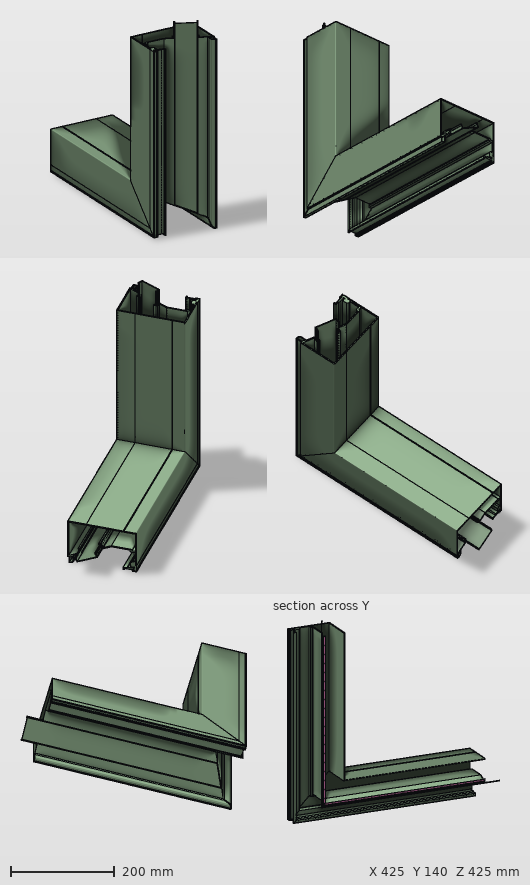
import cadquery as cq
import math

SIZE = 425.0
DEPTH = 140.0
STRIP_PROJECTION = 31.0
LEG_TOP = SIZE - STRIP_PROJECTION

WALL = 2.5
INNER_X = 329.5
EDGE_ROUND = 1.5

BACK_JOINT_Y = 102.0
FRONT_JOINT_X = 403.5

GROOVE_Y = 26.5
GROOVE_WIDTH = 1.3
GROOVE_DEPTH = 0.65

SLOPE_ANGLE = math.radians(25)
STEP_X = 371.0
STEP_Y = 50.5
FOOT_Y = 9.0
FOOT_ROUND = 2.0

STRIP_START = 20.5
STRIP_WIDTH = 46.0
STRIP_END = STRIP_START + STRIP_WIDTH
STRIP_HEIGHT = 10.0
STRIP_WALL = 1.5
STRIP_BEAD = 1.0
STRIP_BEAD_LENGTH = 3.5

RAIL_WALL = 2.0
RAIL_RETURN = 3.5

BACK_WALL_END_X = 412.0
HOLDER_Y_MIN = 127.5
HOLDER_Y_MAX = DEPTH - WALL
HOLDER_WALL = 1.5
HOLDER_ROUND = 6.5

FRONT_EDGE_X = 418.5
FRONT_EDGE_THICK = 5.0
EDGE_GROOVE_X = 416.0
EDGE_GROOVE_WIDTH = 1.5
EDGE_GROOVE_DEPTH = 1.3
CHANNEL_X = 413.0
CHANNEL_WALL = 2.5
CHANNEL_TOP_Y = 27.0
CHANNEL_LIP = 2.5
LOWER_LIP_Y = 7.0
LOWER_LIP_THICK = 1.5
PAD_THICK = 1.5
PAD_TOP_Y = 19.5
PAD_TAPER = 2.5

CLIP_LENGTH = 4.2
CLIP_TOP_Y = 13.5
CLIP_BEVEL = 2.0
RIB_START_X = 396.5
RIB_END_X = 408.8
RIB_TOP_Y = 12.0
RIB_BEVEL = 3.5


def on_slope(along, inward):
    """Point at a distance up the outer face of the slope and inward from that face."""
    x = STEP_X + along * math.sin(SLOPE_ANGLE) - inward * math.cos(SLOPE_ANGLE)
    y = STEP_Y + along * math.cos(SLOPE_ANGLE) + inward * math.sin(SLOPE_ANGLE)
    return (x, y)


def slope_x(y, inward=0.0):
    """X of the line that runs parallel to the slope's outer face, at height y."""
    return STEP_X + (y - STEP_Y) * math.tan(SLOPE_ANGLE) - inward / math.cos(SLOPE_ANGLE)


def prism(points, top=LEG_TOP):
    """Straight upright bar with the given section."""
    return cq.Workplane("XY").polyline(points).close().extrude(top)


def block(x_min, x_max, y_min, y_max):
    """Straight upright bar with a rectangular section."""
    return prism([(x_min, y_min), (x_max, y_min), (x_max, y_max), (x_min, y_max)])


def rounded(bar, x, y, radius):
    """Bar with its upright edge at (x, y) rounded."""
    return bar.edges(cq.selectors.NearestToPointSelector((x, y, LEG_TOP / 2))).fillet(radius)


def mitred(bar):
    """The part of a bar on the upright leg's side of the mitre plane X + Z = SIZE."""
    side = (
        cq.Workplane("XZ")
        .polyline([(0, SIZE), (SIZE, 0), (SIZE, SIZE)])
        .close()
        .extrude(-DEPTH)
    )
    return bar.intersect(side).val()


def rail(strip_edge, toward, return_length=0):
    """Hook on the slope over one lip of the strip; toward is +1 or -1 up the slope.

    The tip of the hook may turn back along the inner side of the lip.
    """
    inside = strip_edge - toward * STRIP_BEAD
    back = inside - toward * RAIL_WALL
    return_face = strip_edge + toward * STRIP_WALL
    tip = return_face + toward * RAIL_WALL
    top = STRIP_HEIGHT + RAIL_WALL
    return_end = STRIP_HEIGHT - return_length
    corners = [(back, 0), (inside, 0), (inside, STRIP_HEIGHT)]
    if return_length:
        corners += [(return_face, STRIP_HEIGHT), (return_face, return_end)]
    corners += [(tip, return_end), (tip, top), (back, top)]
    return prism([on_slope(along, inward) for along, inward in corners])


def make_strip():
    """Shallow channel lying in the slope, with both beaded lips pointing into the box."""
    left = STRIP_START + STRIP_WALL
    right = STRIP_END - STRIP_WALL
    bead_start = STRIP_HEIGHT - STRIP_BEAD_LENGTH
    corners = [
        (STRIP_START, 0),
        (STRIP_END, 0),
        (STRIP_END, bead_start),
        (STRIP_END + STRIP_BEAD, bead_start),
        (STRIP_END + STRIP_BEAD, STRIP_HEIGHT),
        (right, STRIP_HEIGHT),
        (right, STRIP_WALL),
        (left, STRIP_WALL),
        (left, STRIP_HEIGHT),
        (STRIP_START - STRIP_BEAD, STRIP_HEIGHT),
        (STRIP_START - STRIP_BEAD, bead_start),
        (STRIP_START, bead_start),
    ]
    return mitred(prism([on_slope(along, inward) for along, inward in corners], SIZE))


def make_seal_holder():
    """Hollow bead beyond the slope, rounded at its outer front edge."""
    solid = prism(
        [
            (slope_x(HOLDER_Y_MIN), HOLDER_Y_MIN),
            (SIZE, HOLDER_Y_MIN),
            (SIZE, HOLDER_Y_MAX),
            (slope_x(HOLDER_Y_MAX), HOLDER_Y_MAX),
        ]
    )
    solid = rounded(solid, SIZE, HOLDER_Y_MIN, HOLDER_ROUND)
    cavity = solid.faces(">Z").wires().toPending().workplane().offset2D(-HOLDER_WALL)
    return cavity.cutThruAll()


def make_back_profile():
    """Back wall, its short return on the inside of the L, upper slope, rail and seal holder."""
    walls = prism(
        [
            (INNER_X, BACK_JOINT_Y),
            (INNER_X + WALL, BACK_JOINT_Y),
            (INNER_X + WALL, DEPTH - WALL),
            (BACK_WALL_END_X, DEPTH - WALL),
            (BACK_WALL_END_X, DEPTH),
            (INNER_X, DEPTH),
        ]
    )
    walls = rounded(walls, INNER_X, DEPTH, EDGE_ROUND)
    slope = prism(
        [
            on_slope(STRIP_END, 0),
            (slope_x(HOLDER_Y_MAX), HOLDER_Y_MAX),
            (slope_x(HOLDER_Y_MAX, WALL), HOLDER_Y_MAX),
            on_slope(STRIP_END, WALL),
        ]
    )
    return mitred(walls.union(slope).union(rail(STRIP_END, -1)).union(make_seal_holder()))


def make_front_profile():
    """Lower slope, rail, step wall, inner layer of the front wall and the front edge channel."""
    step_inner_x = STEP_X - WALL
    slope_and_step = prism(
        [
            (STEP_X, STEP_Y),
            on_slope(STRIP_START, 0),
            on_slope(STRIP_START, WALL),
            (step_inner_x, STEP_Y + WALL * math.tan(SLOPE_ANGLE / 2)),
            (step_inner_x, FOOT_Y),
            (STEP_X, FOOT_Y),
        ]
    )
    slope_and_step = rounded(slope_and_step, step_inner_x, FOOT_Y, FOOT_ROUND)
    inner_layer = block(STEP_X, FRONT_JOINT_X, WALL, FRONT_EDGE_THICK)
    front_edge = block(FRONT_JOINT_X, FRONT_EDGE_X, 0, FRONT_EDGE_THICK)
    edge_groove = block(EDGE_GROOVE_X, EDGE_GROOVE_X + EDGE_GROOVE_WIDTH, 0, EDGE_GROOVE_DEPTH)
    profile = slope_and_step.union(rail(STRIP_START, 1, RAIL_RETURN)).union(inner_layer)
    profile = profile.union(front_edge.cut(edge_groove))

    web_outer_x = CHANNEL_X + CHANNEL_WALL
    web = block(CHANNEL_X, web_outer_x, FRONT_EDGE_THICK, CHANNEL_TOP_Y)
    upper_lip = block(web_outer_x, FRONT_EDGE_X, CHANNEL_TOP_Y - CHANNEL_LIP, CHANNEL_TOP_Y)
    lower_lip = block(web_outer_x, FRONT_EDGE_X, LOWER_LIP_Y, LOWER_LIP_Y + LOWER_LIP_THICK)
    pad = prism(
        [
            (CHANNEL_X, FRONT_EDGE_THICK),
            (CHANNEL_X, PAD_TOP_Y),
            (CHANNEL_X - PAD_THICK, PAD_TOP_Y - PAD_TAPER),
            (CHANNEL_X - PAD_THICK, FRONT_EDGE_THICK),
        ]
    )
    profile = profile.union(web).union(upper_lip).union(lower_lip).union(pad)

    clip = prism(
        [
            (STEP_X, FRONT_EDGE_THICK),
            (STEP_X + CLIP_LENGTH, FRONT_EDGE_THICK),
            (STEP_X + CLIP_LENGTH, CLIP_TOP_Y - CLIP_BEVEL),
            (STEP_X + CLIP_LENGTH - CLIP_BEVEL, CLIP_TOP_Y),
            (STEP_X, CLIP_TOP_Y),
        ]
    )
    rib = prism(
        [
            (RIB_START_X, FRONT_EDGE_THICK),
            (RIB_END_X, FRONT_EDGE_THICK),
            (RIB_END_X, RIB_TOP_Y),
            (RIB_START_X + RIB_BEVEL, RIB_TOP_Y),
            (RIB_START_X, RIB_TOP_Y - RIB_BEVEL),
        ]
    )
    return mitred(profile.union(clip).union(rib))


def make_cover():
    """L-shaped cover closing the box on the inside of the L and at the front."""
    cover = prism(
        [
            (INNER_X, 0),
            (FRONT_JOINT_X, 0),
            (FRONT_JOINT_X, WALL),
            (INNER_X + WALL, WALL),
            (INNER_X + WALL, BACK_JOINT_Y),
            (INNER_X, BACK_JOINT_Y),
        ]
    )
    cover = rounded(cover, INNER_X, 0, EDGE_ROUND)
    groove = block(
        INNER_X,
        INNER_X + GROOVE_DEPTH,
        GROOVE_Y - GROOVE_WIDTH / 2,
        GROOVE_Y + GROOVE_WIDTH / 2,
    )
    return mitred(cover.cut(groove))


bodies = []
for make_body in (make_strip, make_back_profile, make_front_profile, make_cover):
    upright = make_body()
    level = upright.mirror(cq.Vector(1, 0, 1), cq.Vector(SIZE, 0, 0))
    bodies += [*upright.Solids(), *level.Solids()]

result = cq.Compound.makeCompound(bodies)